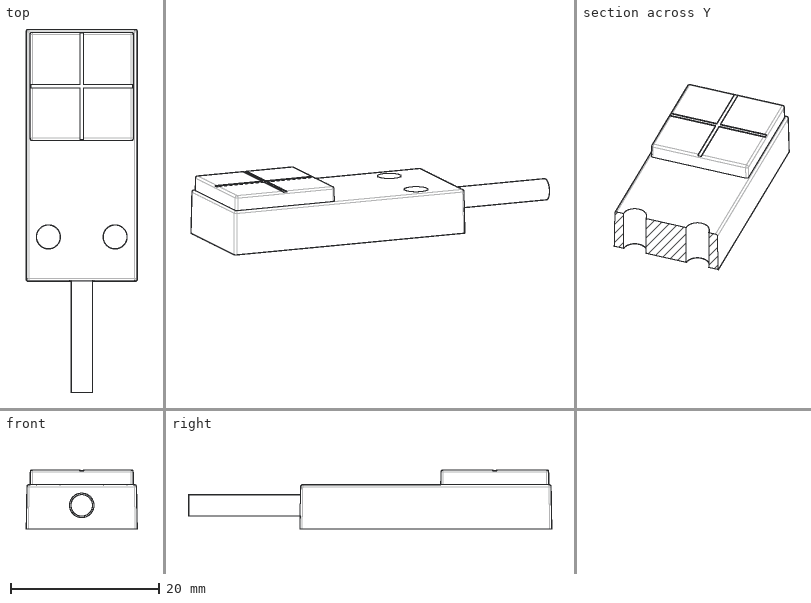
import cadquery as cq

BODY_WIDTH = 15.0
BODY_LENGTH = 34.0
BODY_HEIGHT = 6.0

EDGE_RADIUS = 0.3
DRAFT_ANGLE = 1.0

PAD_WIDTH = 13.95
PAD_LENGTH = 14.6
PAD_HEIGHT = 2.0
PAD_END_GAP = 0.4
GROOVE_WIDTH = 0.5
GROOVE_DEPTH = 0.1

HOLE_DIAMETER = 3.2
HOLE_SPACING = 9.0
HOLE_TO_FRONT = 6.0

CABLE_DIAMETER = 2.9
CABLE_LENGTH = 15.0
CABLE_AXIS_HEIGHT = 3.2
RECESS_DIAMETER = 3.3
RECESS_DEPTH = 0.5

FRONT_Y = -BODY_LENGTH / 2
PAD_CENTER_Y = BODY_LENGTH / 2 - PAD_END_GAP - PAD_LENGTH / 2


def rounded_block(width, length, height):
    """Drafted block on Z = 0, sized at its base, with every edge rounded except those of the base."""
    block = cq.Workplane("XY").rect(width, length).extrude(height, taper=DRAFT_ANGLE)
    return block.edges("not <Z").fillet(EDGE_RADIUS)


def make_pad():
    """Rounded pad divided into four fields by two crossing grooves."""
    pad = rounded_block(PAD_WIDTH, PAD_LENGTH, PAD_HEIGHT)
    for width, length in ((PAD_WIDTH, GROOVE_WIDTH), (GROOVE_WIDTH, PAD_LENGTH)):
        groove = cq.Workplane("XY").box(width, length, GROOVE_DEPTH, centered=(True, True, False))
        pad = pad.cut(groove.translate((0, 0, PAD_HEIGHT - GROOVE_DEPTH)))
    return pad.translate((0, PAD_CENTER_Y, BODY_HEIGHT))


def make_mounting_holes():
    """Cutters for the two through holes."""
    half_spacing = HOLE_SPACING / 2
    hole_y = FRONT_Y + HOLE_TO_FRONT
    centers = [(-half_spacing, hole_y), (half_spacing, hole_y)]
    return cq.Workplane("XY").pushPoints(centers).circle(HOLE_DIAMETER / 2).extrude(BODY_HEIGHT)


def make_y_cylinder(diameter, start_y, end_y):
    """Cylinder on the cable axis between two Y positions."""
    plane = cq.Workplane("XZ", origin=(0, end_y, CABLE_AXIS_HEIGHT))
    return plane.circle(diameter / 2).extrude(end_y - start_y)


recess_floor_y = FRONT_Y + RECESS_DEPTH
recess = make_y_cylinder(RECESS_DIAMETER, FRONT_Y, recess_floor_y)
cable = make_y_cylinder(CABLE_DIAMETER, FRONT_Y - CABLE_LENGTH, recess_floor_y)

body = rounded_block(BODY_WIDTH, BODY_LENGTH, BODY_HEIGHT)
result = body.union(make_pad()).cut(make_mounting_holes()).cut(recess).union(cable)